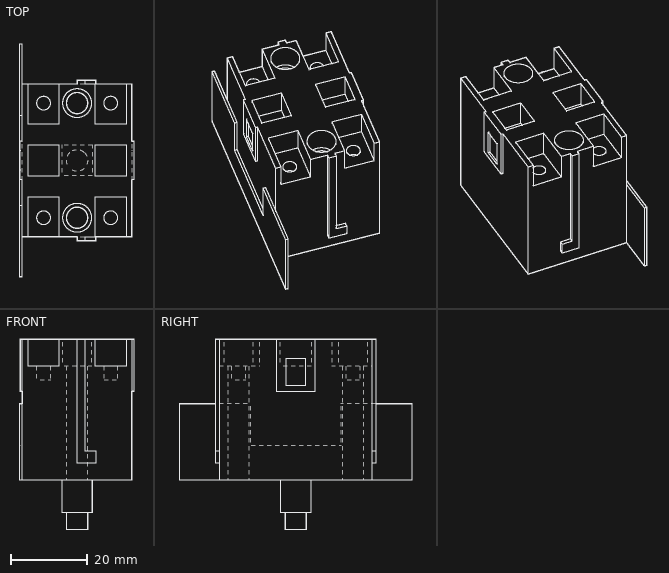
import cadquery as cq

BODY_X = 28.75
BODY_Y = 40.0
BODY_Z = 36.9

PLATE_THICKNESS = 0.75
PLATE_LENGTH = 61.0
PLATE_HEIGHT = 20.0
NOTCH_LENGTH = 23.6
NOTCH_DEPTH = 11.0

PAD_THICKNESS = 0.55
PAD_WIDTH = 10.05
PAD_HEIGHT = 13.65
WINDOW_WIDTH = 5.1
WINDOW_HEIGHT = 7.0
WINDOW_TOP_OFFSET = 5.1

POCKET_X = 8.2
POCKET_DEPTH = 7.0
POCKET_OFFSET_X = 8.8
CORNER_POCKET_Y = 10.5
CENTRE_POCKET_Y = POCKET_X
TERMINAL_HOLE_DIAMETER = 3.6
TERMINAL_HOLE_DEPTH = 3.65

HOLE_OFFSET_Y = 15.0
HOLE_DIAMETER = 5.5
COUNTERBORE_DIAMETER = 7.55
COUNTERBORE_DEPTH = POCKET_DEPTH

RIB_PROJECTION = 1.05
RIB_WIDTH = 2.1
RIB_LENGTH = 32.4
FOOT_LENGTH = 4.95
FOOT_HEIGHT = 3.05

COLLAR_SIDE = 8.0
COLLAR_HEIGHT = 8.55
SHAFT_DIAMETER = 5.6
SHAFT_LENGTH = 4.45

SIDES = (-1, 1)


def box(x_min, x_size, y_size, z_min, z_size):
    """Box starting at x_min and z_min, centred on Y."""
    return cq.Workplane("XY").box(x_size, y_size, z_size, centered=(False, True, False)).translate(
        (x_min, 0, z_min)
    )


def make_plate():
    x_min = -BODY_X / 2 - PLATE_THICKNESS
    plate = box(x_min, PLATE_THICKNESS, PLATE_LENGTH, 0, PLATE_HEIGHT)
    notch = box(x_min, PLATE_THICKNESS, NOTCH_LENGTH, PLATE_HEIGHT - NOTCH_DEPTH, NOTCH_DEPTH)
    return plate.cut(notch)


def make_pad():
    """Windowed pad on the +X face."""
    window_bottom = BODY_Z - WINDOW_TOP_OFFSET - WINDOW_HEIGHT
    pad = box(BODY_X / 2, PAD_THICKNESS, PAD_WIDTH, BODY_Z - PAD_HEIGHT, PAD_HEIGHT)
    window = box(BODY_X / 2, PAD_THICKNESS, WINDOW_WIDTH, window_bottom, WINDOW_HEIGHT)
    return pad.cut(window)


def make_rib():
    """L-shaped rib on the -Y face, its foot pointing toward +X."""
    rib_bottom = BODY_Z - RIB_LENGTH
    return (
        cq.Workplane("XZ", origin=(0, -BODY_Y / 2, 0))
        .moveTo(0, BODY_Z)
        .lineTo(0, rib_bottom)
        .lineTo(FOOT_LENGTH, rib_bottom)
        .lineTo(FOOT_LENGTH, rib_bottom + FOOT_HEIGHT)
        .lineTo(RIB_WIDTH, rib_bottom + FOOT_HEIGHT)
        .lineTo(RIB_WIDTH, BODY_Z)
        .close()
        .extrude(RIB_PROJECTION)
    )


def make_drive():
    collar = cq.Workplane("XY").rect(COLLAR_SIDE, COLLAR_SIDE).extrude(-COLLAR_HEIGHT)
    return collar.faces("<Z").workplane().circle(SHAFT_DIAMETER / 2).extrude(SHAFT_LENGTH)


def cut_pockets(part):
    floor_z = BODY_Z - POCKET_DEPTH
    corner_y = (BODY_Y - CORNER_POCKET_Y) / 2
    for side_x in SIDES:
        x = side_x * POCKET_OFFSET_X
        centre = box(x - POCKET_X / 2, POCKET_X, CENTRE_POCKET_Y, floor_z, POCKET_DEPTH)
        corner = box(x - POCKET_X / 2, POCKET_X, CORNER_POCKET_Y, floor_z, POCKET_DEPTH)
        part = part.cut(centre)
        for side_y in SIDES:
            part = part.cut(corner.translate((0, side_y * corner_y, 0)))
    terminal_points = [(sx * POCKET_OFFSET_X, sy * HOLE_OFFSET_Y) for sx in SIDES for sy in SIDES]
    terminal_holes = (
        cq.Workplane("XY", origin=(0, 0, floor_z))
        .pushPoints(terminal_points)
        .circle(TERMINAL_HOLE_DIAMETER / 2)
        .extrude(-TERMINAL_HOLE_DEPTH)
    )
    return part.cut(terminal_holes)


def cut_mounting_holes(part):
    return (
        part.faces(">Z")
        .workplane(origin=(0, 0, BODY_Z))
        .pushPoints([(0, side * HOLE_OFFSET_Y) for side in SIDES])
        .cboreHole(HOLE_DIAMETER, COUNTERBORE_DIAMETER, COUNTERBORE_DEPTH)
    )


housing = box(-BODY_X / 2, BODY_X, BODY_Y, 0, BODY_Z)
housing = cut_mounting_holes(cut_pockets(housing))
pad = make_pad()
rib = make_rib()

result = (
    housing.union(make_plate())
    .union(pad)
    .union(pad.mirror("YZ"))
    .union(rib)
    .union(rib.mirror("XZ"))
    .union(make_drive())
)